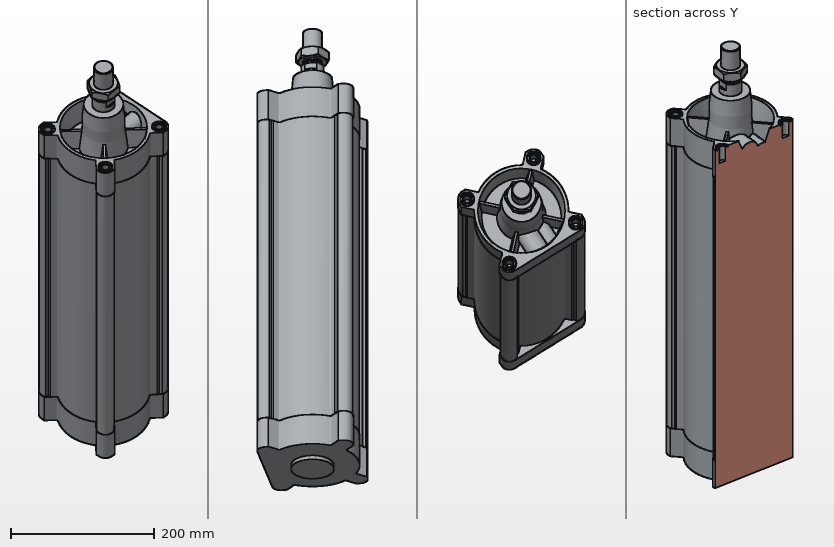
import cadquery as cq
import math


body_length = 560.0
cap_length = 46.0
cap_width = 136.0
screw_pitch = 110.0
cap_diameter = 132.0
barrel_diameter = 131.5
lug_radius = (cap_width - screw_pitch) / 2
cap_step = (cap_diameter - barrel_diameter) / 2
barrel_lug_radius = lug_radius - cap_step
neck_fillet = 2.0

groove_outer = 81.5
groove_root = 77.5
groove_inner = 75.0
groove_root_offset = 11.0

collar_diameter = 60.0
collar_straight = 21.0
collar_height = 46.0
collar_tip_diameter = 55.2
spigot_height = 6.0

recess_depth = 35.0
recess_radius = 61.0
recess_floor_radius = 55.5
hub_radius = collar_diameter / 2
hub_floor_radius = 34.5
rib_drop = 4.0
rib_top_width = 3.6
rib_floor_width = 11.0

port_boss = (8.0, -24.5, 15.5)
cushion_boss = (-14.5, -30.0, 11.5)

screw_head_diameter = 18.0
counterbore_diameter = 19.9
counterbore_depth = 2.0
screw_hole_diameter = 10.11
screw_hole_rim_diameter = 12.8
screw_hole_depth = 24.0

rod_top = 119.0
rod_diameter = 32.0
thread_diameter = 27.0
thread_length = 54.0
thread_root_diameter = 24.84
relief_diameter = 24.9
relief_length = 5.0
rod_flat_width = 27.0
rod_flat_length = 10.0

nut_width = 41.0
nut_height = 15.0
nut_face_diameter = 40.0
nut_top = rod_top - 31.5

body_bottom = -body_length
barrel_length = body_length - 2 * cap_length
lug_distance = screw_pitch / math.sqrt(2)
groove_mouth_offset = math.sqrt(barrel_lug_radius**2 - (groove_outer - lug_distance) ** 2)
shoulder_z = rod_top - thread_length
relief_depth = (thread_diameter - relief_diameter) / 2
diagonals = [45, 135, 225, 315]


def cone(bottom_radius, top_radius, bottom, top):
    outline = [(0, bottom), (bottom_radius, bottom), (top_radius, top), (0, top)]
    return cq.Workplane("XZ").polyline(outline).close().revolve(360, (0, 0), (0, 1))


def cylinder(diameter, bottom, top):
    return cq.Workplane("XY").workplane(offset=bottom).circle(diameter / 2).extrude(top - bottom)


def box(width, depth, bottom, top):
    return cq.Workplane("XY").workplane(offset=bottom).rect(width, depth).extrude(top - bottom)


def diagonal_cross(width, length, bottom, top):
    bar = box(length, width, bottom, top)
    return bar.rotate((0, 0, 0), (0, 0, 1), 45).union(bar.rotate((0, 0, 0), (0, 0, 1), 135))


def neck_points(radius, half_width):
    """The two places where the diagonal lug of the +X +Y corner leaves the round middle."""
    along = math.sqrt(radius**2 - half_width**2)
    far = (along + half_width) / math.sqrt(2)
    near = (along - half_width) / math.sqrt(2)
    return [(far, near), (near, far)]


def fillet_neck(solid, x, y):
    middle_height = solid.val().Center().z
    neck = cq.NearestToPointSelector((x, y, middle_height))
    return solid.edges("|Z").edges(neck).fillet(neck_fillet)


def end_cap(bottom):
    top = bottom + cap_length
    middle = cylinder(cap_diameter, bottom, top)
    lugs = diagonal_cross(2 * lug_radius, 2 * cap_width, bottom, top)
    port_side = box(screw_pitch, 2 * lug_radius, bottom, top).translate((0, screw_pitch / 2, 0))
    square = box(cap_width, cap_width, bottom, top).edges("|Z").fillet(lug_radius)
    cap = middle.union(lugs.union(port_side).intersect(square))
    (far, near), _ = neck_points(cap_diameter / 2, lug_radius)
    for side in (-1, 1):
        cap = fillet_neck(cap, side * far, near)
        cap = fillet_neck(cap, side * far, -near)
        cap = fillet_neck(cap, side * near, -far)
    return cap


def lug_groove(side):
    outline = [
        (groove_outer, side * groove_mouth_offset),
        (groove_root, side * groove_root_offset),
        (groove_inner, side * barrel_lug_radius),
        (groove_inner, side * 2 * barrel_lug_radius),
        (groove_outer, side * 2 * barrel_lug_radius),
    ]
    start = cq.Workplane("XY").workplane(offset=body_bottom + cap_length)
    return start.polyline(outline).close().extrude(barrel_length)


def barrel():
    bottom = body_bottom + cap_length
    top = -cap_length
    tube = cylinder(barrel_diameter, bottom, top)
    webs = diagonal_cross(2 * barrel_lug_radius, math.sqrt(2) * screw_pitch, bottom, top)
    lugs = (
        cq.Workplane("XY").workplane(offset=bottom)
        .rect(screw_pitch, screw_pitch, forConstruction=True).vertices()
        .circle(barrel_lug_radius).extrude(barrel_length)
    )
    profile = tube.union(webs).union(lugs)
    for x, y in neck_points(barrel_diameter / 2, barrel_lug_radius):
        for x_side in (-1, 1):
            for y_side in (-1, 1):
                profile = fillet_neck(profile, x_side * x, y_side * y)
    for angle in diagonals:
        for side in (-1, 1):
            profile = profile.cut(lug_groove(side).rotate((0, 0, 0), (0, 0, 1), angle))
    return profile


def rib(angle):
    outline = [
        (-rib_floor_width / 2, -recess_depth),
        (rib_floor_width / 2, -recess_depth),
        (rib_top_width / 2, -rib_drop),
        (-rib_top_width / 2, -rib_drop),
    ]
    bar = cq.Workplane("YZ").polyline(outline).close().extrude(recess_radius)
    return bar.rotate((0, 0, 0), (0, 0, 1), angle)


def side_boss(x, z, radius):
    return cq.Workplane("XZ").center(x, z).circle(radius).extrude(-recess_radius)


def recess():
    space = cone(recess_floor_radius, recess_radius, -recess_depth, 0)
    space = space.cut(cone(hub_floor_radius, hub_radius, -recess_depth, 0))
    for angle in diagonals:
        space = space.cut(rib(angle))
    for boss in (port_boss, cushion_boss):
        space = space.cut(side_boss(*boss))
    return space


def screw_recess():
    ring = cylinder(counterbore_diameter, -counterbore_depth, 0)
    ring = ring.cut(cylinder(screw_head_diameter, -counterbore_depth, 0))
    hole = cylinder(screw_hole_diameter, -screw_hole_depth, 0)
    rim_depth = (screw_hole_rim_diameter - screw_hole_diameter) / 2
    rim = cone(screw_hole_diameter / 2, screw_hole_rim_diameter / 2, -rim_depth, 0)
    return [ring, hole.union(rim)]


def make_housing():
    housing = barrel().union(end_cap(-cap_length)).union(end_cap(body_bottom))
    housing = housing.cut(recess())
    housing = housing.union(cylinder(collar_diameter, -rib_drop, collar_straight))
    housing = housing.union(
        cone(collar_diameter / 2, collar_tip_diameter / 2, collar_straight, collar_height)
    )
    housing = housing.union(cylinder(collar_diameter, body_bottom - spigot_height, body_bottom))
    for x in (-screw_pitch / 2, screw_pitch / 2):
        for y in (-screw_pitch / 2, screw_pitch / 2):
            for cutter in screw_recess():
                housing = housing.cut(cutter.translate((x, y, 0)))
    return housing.cut(cylinder(rod_diameter, -cap_length, collar_height))


def make_rod():
    thread_radius = thread_diameter / 2
    relief_radius = relief_diameter / 2
    root_radius = thread_root_diameter / 2
    thread_end = shoulder_z + relief_length
    outline = [
        (0, -cap_length),
        (rod_diameter / 2, -cap_length),
        (rod_diameter / 2, shoulder_z),
        (thread_radius, shoulder_z),
        (relief_radius, shoulder_z + relief_depth),
        (relief_radius, thread_end - relief_depth),
        (thread_radius, thread_end),
        (thread_radius, rod_top - (thread_radius - root_radius)),
        (root_radius, rod_top),
        (0, rod_top),
    ]
    rod = cq.Workplane("XZ").polyline(outline).close().revolve(360, (0, 0), (0, 1))
    flat_bottom = shoulder_z - rod_flat_length
    flats = box(2 * rod_diameter, 2 * rod_diameter, flat_bottom, shoulder_z)
    flats = flats.cut(box(rod_flat_width, 2 * rod_diameter, flat_bottom, shoulder_z))
    return rod.cut(flats)


def make_nut():
    bottom = nut_top - nut_height
    corner_diameter = nut_width / math.cos(math.radians(30))
    nut = cq.Workplane("XY").workplane(offset=bottom).polygon(6, corner_diameter).extrude(nut_height)
    nut = nut.rotate((0, 0, 0), (0, 0, 1), 30)
    corner_radius = corner_diameter / 2
    face_radius = nut_face_diameter / 2
    drop = (corner_radius - face_radius) * math.tan(math.radians(30))
    outline = [
        (0, bottom),
        (face_radius, bottom),
        (corner_radius, bottom + drop),
        (corner_radius, nut_top - drop),
        (face_radius, nut_top),
        (0, nut_top),
    ]
    nut = nut.intersect(cq.Workplane("XZ").polyline(outline).close().revolve(360, (0, 0), (0, 1)))
    return nut.cut(cylinder(thread_diameter, bottom, nut_top))


housing = make_housing()
rod = make_rod()
nut = make_nut()
result = cq.Compound.makeCompound([housing.val(), rod.val(), nut.val()])